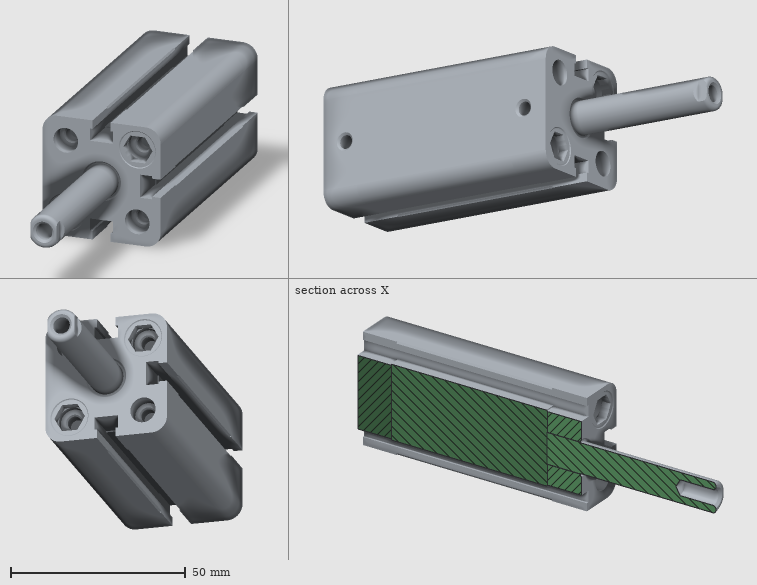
import cadquery as cq
import math


TOTAL_LENGTH = 123.6
SIDE = 36.3
CORNER_RADIUS = 4.6
FRONT_CAP_LENGTH = 12.0
REAR_CAP_LENGTH = 11.6
TUBE_LENGTH = 53.6
BODY_LENGTH = FRONT_CAP_LENGTH + TUBE_LENGTH + REAR_CAP_LENGTH
TUBE_START = FRONT_CAP_LENGTH
REAR_CAP_START = TUBE_START + TUBE_LENGTH
HALF_SIDE = SIDE / 2

SLOT_ANGLES = (0, 90, 180)
SLOT_MOUTH = 5.6
SLOT_UNDERCUT = 7.0
SLOT_LIP = 2.6
CAP_SLOT_DEPTH = 6.3
TUBE_SLOT_DEPTH = 5.9
TUBE_MOUTH_BEVEL_WIDTH = 0.4
TUBE_MOUTH_BEVEL_DEPTH = 0.6

THREAD_CORE = 4.1
CORNER_THREAD_OUTER = 5.0
PORT_THREAD_OUTER = 5.5

CORNER_HOLE_OFFSET = 11.0
CORNER_BORE = 7.5
CORNER_BORE_DEPTH = 5.0
CORNER_THREAD_DEPTH = 3.7

RECESS_OUTER = 11.4
RECESS_INNER = 10.9
RECESS_DEPTH = 0.2
HEX_ACROSS_FLATS = 7.9
HEX_DEPTH = 3.1
SOCKET_BORE = 8.0

FRONT_PORT_SETBACK = 7.8
REAR_PORT_SETBACK = 7.4
PORT_FLOOR_DIAMETER = 20.0

ROD_DIAMETER = 10.0
ROD_EXTENSION = TOTAL_LENGTH - BODY_LENGTH
ROD_TIP = -ROD_EXTENSION
ROD_TIP_ROUND = 1.2
FLATS_WIDTH = 8.0
FLATS_LENGTH = 3.1
ROD_THREAD_CORE = 5.0
ROD_COUNTERSINK = 6.4
ROD_THREAD_DEPTH = 12.4
DRILL_POINT_ANGLE = 118

WIPER_OUTER = 12.0
WIPER_INNER = 11.1
WIPER_DEPTH = 0.4


def cylinder(diameter, start, length):
    """Cylinder about the Y axis, from Y = start towards +Y."""
    return cq.Workplane("XZ", origin=(0, start, 0)).circle(diameter / 2).extrude(-length)


def cone(start_diameter, end_diameter, start, length):
    """Cone frustum about the Y axis, from Y = start towards +Y."""
    solid = cq.Solid.makeCone(
        start_diameter / 2, end_diameter / 2, length, cq.Vector(0, start, 0), cq.Vector(0, 1, 0)
    )
    return cq.Workplane(obj=solid)


def slot_cutter(depth, start, length, bevelled):
    """T-slot in the top side, running along Y."""
    half_mouth = SLOT_MOUTH / 2
    half_undercut = SLOT_UNDERCUT / 2
    lip_z = HALF_SIDE - SLOT_LIP
    floor_z = HALF_SIDE - depth
    if bevelled:
        half_opening = half_mouth + TUBE_MOUTH_BEVEL_WIDTH
        bevel_z = HALF_SIDE - TUBE_MOUTH_BEVEL_DEPTH
        right_edge = [(half_opening, HALF_SIDE), (half_mouth, bevel_z)]
    else:
        right_edge = [(half_mouth, HALF_SIDE)]
    right_edge += [(half_mouth, lip_z), (half_undercut, lip_z), (half_undercut, floor_z)]
    left_edge = [(-x, z) for x, z in reversed(right_edge)]
    outline = cq.Workplane("XZ", origin=(0, start, 0)).polyline(right_edge + left_edge).close()
    return outline.extrude(-length)


def slotted_block(start, length, slot_depth, bevelled=False):
    """Rounded square block with the three T-slots."""
    block = cq.Workplane("XZ", origin=(0, start, 0)).rect(SIDE, SIDE).extrude(-length)
    block = block.edges("|Y").fillet(CORNER_RADIUS)
    slot = slot_cutter(slot_depth, start, length, bevelled)
    for angle in SLOT_ANGLES:
        block = block.cut(slot.rotate((0, 0, 0), (0, 1, 0), angle))
    return block


def threaded_hole_cutter(outer_diameter, start, length):
    """Thread core hole with a 45 degree lead-in, along +Y."""
    lead_in = (outer_diameter - THREAD_CORE) / 2
    core = cylinder(THREAD_CORE, start, length)
    return core.union(cone(outer_diameter, THREAD_CORE, start, lead_in))


def port_cutter(y):
    """Threaded air port from the -X side, ending on the round floor about the axis."""
    port = threaded_hole_cutter(PORT_THREAD_OUTER, 0, HALF_SIDE)
    port = port.rotate((0, 0, 0), (0, 0, 1), -90).translate((-HALF_SIDE, y, 0))
    return port.cut(cylinder(PORT_FLOOR_DIAMETER, 0, BODY_LENGTH))


def bored_thread_cutter(bore_diameter):
    """Plain bore with a smaller threaded hole in its floor."""
    bore = cylinder(bore_diameter, 0, CORNER_BORE_DEPTH)
    thread = threaded_hole_cutter(CORNER_THREAD_OUTER, CORNER_BORE_DEPTH, CORNER_THREAD_DEPTH)
    return bore.union(thread)


def hex_socket_cutter():
    """Shallow tapered recess, then a hexagon socket around a threaded bore that grazes its flats."""
    recess = cone(RECESS_OUTER, RECESS_INNER, 0, RECESS_DEPTH)
    across_corners = HEX_ACROSS_FLATS / math.cos(math.pi / 6)
    hexagon = cq.Workplane("XZ").polygon(6, across_corners).extrude(-HEX_DEPTH)
    return recess.union(hexagon).union(bored_thread_cutter(SOCKET_BORE))


def make_front_cap():
    cap = slotted_block(0, FRONT_CAP_LENGTH, CAP_SLOT_DEPTH)

    cap = cap.cut(cylinder(ROD_DIAMETER, 0, FRONT_CAP_LENGTH))
    cap = cap.cut(cone(WIPER_OUTER, WIPER_INNER, 0, WIPER_DEPTH))

    plain_hole = bored_thread_cutter(CORNER_BORE)
    socket = hex_socket_cutter()
    for x_sign in (-1, 1):
        for z_sign in (-1, 1):
            cutter = socket if x_sign == z_sign else plain_hole
            cap = cap.cut(cutter.translate((x_sign * CORNER_HOLE_OFFSET, 0, z_sign * CORNER_HOLE_OFFSET)))

    return cap.cut(port_cutter(FRONT_PORT_SETBACK))


def make_tube():
    return slotted_block(TUBE_START, TUBE_LENGTH, TUBE_SLOT_DEPTH, bevelled=True)


def make_rear_cap():
    cap = slotted_block(REAR_CAP_START, REAR_CAP_LENGTH, CAP_SLOT_DEPTH)
    return cap.cut(port_cutter(BODY_LENGTH - REAR_PORT_SETBACK))


def make_rod():
    rod = cylinder(ROD_DIAMETER, ROD_TIP, ROD_EXTENSION + FRONT_CAP_LENGTH)
    rod = rod.faces("<Y").edges().fillet(ROD_TIP_ROUND)

    rod_radius = ROD_DIAMETER / 2
    half_flats = FLATS_WIDTH / 2
    flats_end = ROD_TIP + FLATS_LENGTH
    slope_end = flats_end + rod_radius - half_flats
    flat_outline = [
        (half_flats, ROD_TIP),
        (rod_radius, ROD_TIP),
        (rod_radius, slope_end),
        (half_flats, flats_end),
    ]
    flat = cq.Workplane("XY").polyline(flat_outline).close().extrude(rod_radius, both=True)
    rod = rod.cut(flat).cut(flat.mirror("YZ"))

    countersink_depth = (ROD_COUNTERSINK - ROD_THREAD_CORE) / 2
    point_length = ROD_THREAD_CORE / 2 / math.tan(math.radians(DRILL_POINT_ANGLE / 2))
    rod = rod.cut(cylinder(ROD_THREAD_CORE, ROD_TIP, ROD_THREAD_DEPTH))
    rod = rod.cut(cone(ROD_THREAD_CORE, 0, ROD_TIP + ROD_THREAD_DEPTH, point_length))
    return rod.cut(cone(ROD_COUNTERSINK, ROD_THREAD_CORE, ROD_TIP, countersink_depth))


front_cap = make_front_cap()
tube = make_tube()
rear_cap = make_rear_cap()
rod = make_rod()

result = cq.Compound.makeCompound([front_cap.val(), tube.val(), rear_cap.val(), rod.val()])